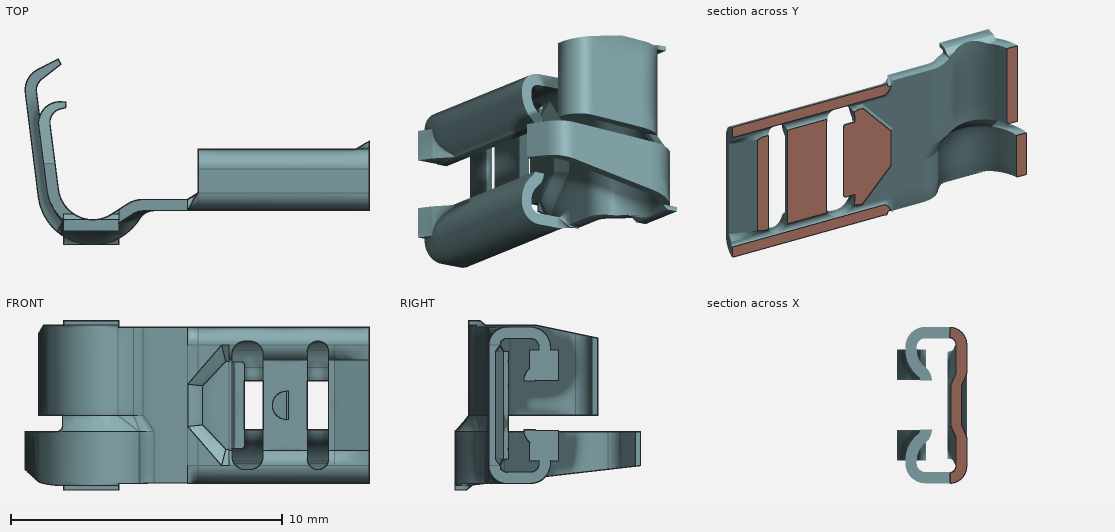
import cadquery as cq
import math


SHEET = 0.42
HALF_WIDTH = 2.885
CUT_REACH = 10.0

RING_X = 2.5
SLOT_TOP = -0.37
SLOT_BOTTOM = -0.965
SLOT_END_X = 1.375
SLOT_CORNER = 0.2
ARM_HALF_WIDTH = 2.96
PATCH_END_X = 5.19
UPPER_ARM = dict(
    ring_radius=1.7, rise_angle=33, rise_length=0.68, foot_radius=0.66,
    lean=7.3, straight=2.42, bend_radius=0.79, bend_turn=103, inner_radius=0.52, inner_turn=75,
    tip_length=0.15, tip_thickness=0.21,
)
LOWER_ARM = dict(
    ring_radius=2.035, rise_angle=57, rise_length=0.05, foot_radius=0.63,
    lean=7.1, straight=3.84, bend_radius=0.86, bend_turn=70, inner_radius=0.5, inner_turn=57,
    tip_length=0.85, tip_thickness=0.22,
)
UPPER_TAPER_START_Y = 1.74
UPPER_TAPER_SLOPE = 0.21
LOWER_TAPER_START_Y = -0.8
LOWER_TAPER_SLOPE = 0.115

TAB_LENGTH = 2.04
TAB_CENTER_X = 2.44
TAB_END_Z = 3.125
TAB_SLOPE = 0.21

NECK_END_X = 5.99
TUBE_START_X = 6.38
TUBE_END_X = 12.7
TUBE_HEIGHT = 2.27
FRONT_RADIUS = 0.66
BACK_RADIUS = 0.74
LIP_TURN = 52
LIP_BEND_Z = 1.39
LIP_END_Z = 0.9
LIP_DROP = 0.56
FLARE_START_X = 11.6
FLARE_BEND_X = 12.2
FLARE_HEIGHT = 0.3
FLARE_END_Z = 0.92

RECESS = 0.3
THIN_SHEET = 0.24
POCKET_END_X = 7.52
RAMP_START_X = 11.42
FRONT_CENTER_Z = HALF_WIDTH - FRONT_RADIUS
INNER_FRONT_RADIUS = FRONT_RADIUS - SHEET

POCKET_NOSE_X = 6.0
POCKET_NOSE_HALF = 0.78
POCKET_FLOOR_NOSE_HALF = 0.72
POCKET_WALL_RUN = 0.55
POCKET_SHOULDER_X = 7.25
POCKET_FLOOR_SHOULDER_X = 7.4
POCKET_FLOOR_HALF = 1.62

WINDOW_HALF = 2.37
WINDOW_DEPTH = 1.1
WINDOW_1 = (7.63, 8.78, 0.5)
WINDOW_2 = (10.41, 11.19, 0.389)
LIP_TAB_BEND_X = 7.71
LIP_TAB_END_X = 8.09
LIP_TAB_DROP = 0.15
LIP_TAB_HALF = 1.6
LIP_TAB_CORNER = 0.12
TOOTH_X = 9.64
TOOTH_RADIUS = 0.52
TOOTH_HEIGHT = 0.08
TOOTH_BACK = 0.067


def polar(center, radius, degrees):
    """Point on a circle, angle measured from +X."""
    angle = math.radians(degrees)
    return (center[0] + radius * math.cos(angle), center[1] + radius * math.sin(angle))


def arc(sketch, center, radius, start, end):
    """Continue a sketch along an arc; the sketch must be at the start angle."""
    middle = polar(center, radius, (start + end) / 2)
    return sketch.threePointArc(middle, polar(center, radius, end))


def ring_center(arm):
    """Ring center that brings the foot of the arm level with the neck at Y = 0."""
    rise = math.radians(arm["rise_angle"])
    reach = (arm["ring_radius"] + arm["foot_radius"]) * math.cos(rise)
    return (RING_X, reach - arm["rise_length"] * math.sin(rise) - arm["foot_radius"])


def root_points(arm):
    """Centers and corner points of the stretch from the ring to the flat neck."""
    ring = ring_center(arm)
    rise = arm["rise_angle"]
    leave = 270 + rise
    outer = polar(polar(ring, arm["ring_radius"], leave), arm["rise_length"], rise)
    foot = polar(outer, arm["foot_radius"], leave)
    return ring, leave, outer, foot


def draw_root(sketch, arm, ring_start, end_x):
    """Outer side from the ring to the neck, then back along the inner side to ring_start."""
    ring, leave, outer, foot = root_points(arm)
    inner_ring = arm["ring_radius"] - SHEET
    sketch = arc(sketch, ring, arm["ring_radius"], ring_start, leave).lineTo(*outer)
    sketch = arc(sketch, foot, arm["foot_radius"], leave - 180, 90)
    sketch = sketch.lineTo(end_x, 0).lineTo(end_x, SHEET).lineTo(foot[0], SHEET)
    sketch = arc(sketch, foot, arm["foot_radius"] + SHEET, 90, leave - 180)
    sketch = sketch.lineTo(*polar(ring, inner_ring, leave))
    return arc(sketch, ring, inner_ring, leave, ring_start)


def arm_outline(arm):
    """Closed XY outline of a whole spring arm, from hooked tip to neck."""
    ring = ring_center(arm)
    lean = arm["lean"]
    touch = 180 + lean
    outer_ring = arm["ring_radius"]
    outer_top = polar(polar(ring, outer_ring, touch), arm["straight"], 90 + lean)
    inner_top = polar(outer_top, SHEET, lean)
    bend = polar(outer_top, arm["bend_radius"], lean)
    inner_bend = polar(inner_top, arm["inner_radius"], lean)
    bend_end = touch - arm["bend_turn"]
    inner_end = touch - arm["inner_turn"]
    tip_start = polar(bend, arm["bend_radius"], bend_end)
    tip = polar(tip_start, arm["tip_length"], bend_end - 90)
    tip_inner = polar(tip, arm["tip_thickness"], bend_end + 180)

    sketch = cq.Workplane("XY").moveTo(*polar(ring, outer_ring, touch))
    sketch = draw_root(sketch, arm, touch, NECK_END_X).lineTo(*inner_top)
    sketch = arc(sketch, inner_bend, arm["inner_radius"], touch, inner_end)
    sketch = sketch.lineTo(*tip_inner).lineTo(*tip).lineTo(*tip_start)
    return arc(sketch, bend, arm["bend_radius"], bend_end, touch).close()


def taper_cutter(start_y, slope, side):
    """Wedge that narrows an arm from start_y towards its tip on the +Z or -Z side."""
    edge = side * ARM_HALF_WIDTH
    far_edge = edge - side * slope * (CUT_REACH - start_y)
    profile = [(start_y, edge), (CUT_REACH, far_edge), (CUT_REACH, edge)]
    return cq.Workplane("YZ").polyline(profile).close().extrude(CUT_REACH, both=True)


def make_arm(arm, z_inner, side, taper):
    """Arm between z_inner and the outer edge on the +Z or -Z side, tapered to its tip."""
    width = ARM_HALF_WIDTH - side * z_inner
    start_z = z_inner if side > 0 else -ARM_HALF_WIDTH
    body = arm_outline(arm).extrude(width).translate((0, 0, start_z))
    body = body.cut(taper_cutter(*taper, side))
    trim_height = ARM_HALF_WIDTH - HALF_WIDTH
    trim = cq.Workplane("XY").box(NECK_END_X, CUT_REACH, trim_height, centered=(False, True, True))
    trim_z = side * (HALF_WIDTH + trim_height / 2)
    return body.cut(trim.translate((TAB_CENTER_X + TAB_LENGTH / 2, 0, trim_z)))


def make_tab(arm, side):
    """Flat tab on the arm edge, its inner face sloping back to the ring bore."""
    ring = ring_center(arm)
    outer_y = ring[1] - arm["ring_radius"]
    inner_y = outer_y + SHEET
    base = side * ARM_HALF_WIDTH
    end = side * TAB_END_Z
    profile = [(outer_y, base), (outer_y, end), (inner_y, end), (inner_y + TAB_SLOPE, base)]
    tab = cq.Workplane("YZ").polyline(profile).close().extrude(TAB_LENGTH)
    tab = tab.translate((TAB_CENTER_X - TAB_LENGTH / 2, 0, 0))
    bore = cq.Workplane("XY").center(*ring).circle(arm["ring_radius"] - SHEET)
    return tab.cut(bore.extrude(CUT_REACH, both=True))


def root_wire(arm, z):
    """Root section at height z, its ring starting just left of the slot end."""
    ring = ring_center(arm)
    reach = RING_X - (SLOT_END_X - SLOT_CORNER)
    start_angle = 180 + math.degrees(math.acos(reach / arm["ring_radius"]))
    start = polar(ring, arm["ring_radius"], start_angle)
    sketch = cq.Workplane("XY", origin=(0, 0, z)).moveTo(*start)
    return draw_root(sketch, arm, start_angle, PATCH_END_X).close().val()


def make_joggle():
    """Sloped band joining the two rings across the slot between the arms."""
    upper = root_wire(UPPER_ARM, SLOT_TOP)
    lower = root_wire(LOWER_ARM, SLOT_BOTTOM)
    band = cq.Workplane("XY").add(cq.Solid.makeLoft([lower, upper], True))
    height = SLOT_TOP - SLOT_BOTTOM
    slot = (
        cq.Workplane("XZ")
        .moveTo(0, SLOT_TOP)
        .lineTo(SLOT_END_X, SLOT_TOP)
        .lineTo(SLOT_END_X, SLOT_BOTTOM + SLOT_CORNER)
        .radiusArc((SLOT_END_X - SLOT_CORNER, SLOT_BOTTOM), SLOT_CORNER)
        .lineTo(0, SLOT_BOTTOM)
        .close()
        .extrude(CUT_REACH, both=True)
    )
    neck_length = NECK_END_X - PATCH_END_X
    neck = cq.Workplane("XY").box(neck_length, SHEET, height, centered=False)
    return band.cut(slot).union(neck.translate((PATCH_END_X, 0, SLOT_BOTTOM)))


def yz_sketch(x):
    """Sketch plane across the tube at x; local axes are Y and Z."""
    return cq.Workplane("YZ", origin=(x, 0, 0))


def side_wall():
    """+Z side of the tube: front corner, side and inward-bent back lip."""
    front = (FRONT_RADIUS, FRONT_CENTER_Z)
    back = (TUBE_HEIGHT - BACK_RADIUS, HALF_WIDTH - BACK_RADIUS)
    inner_back = BACK_RADIUS - SHEET
    lip_y = TUBE_HEIGHT - LIP_DROP
    turn = math.radians(LIP_TURN)
    end_radius = (LIP_BEND_Z - LIP_END_Z) / math.sin(turn)
    bend_radius = LIP_DROP / (1 - math.cos(turn)) - end_radius
    bend = (TUBE_HEIGHT - SHEET - bend_radius, LIP_END_Z + (end_radius + bend_radius) * math.sin(turn))
    end = (lip_y - SHEET + end_radius, LIP_END_Z)
    sketch = arc(yz_sketch(TUBE_START_X).moveTo(0, front[1]), front, FRONT_RADIUS, 180, 90)
    sketch = sketch.lineTo(back[0], HALF_WIDTH)
    sketch = arc(sketch, back, BACK_RADIUS, 90, 0).lineTo(TUBE_HEIGHT, bend[1])
    sketch = arc(sketch, bend, bend_radius + SHEET, 0, -LIP_TURN)
    sketch = arc(sketch, end, end_radius - SHEET, 180 - LIP_TURN, 180)
    sketch = sketch.lineTo(lip_y - SHEET, LIP_END_Z)
    sketch = arc(sketch, end, end_radius, 180, 180 - LIP_TURN)
    sketch = arc(sketch, bend, bend_radius, -LIP_TURN, 0).lineTo(TUBE_HEIGHT - SHEET, back[1])
    sketch = arc(sketch, back, inner_back, 0, 90)
    sketch = sketch.lineTo(front[0], HALF_WIDTH - SHEET)
    sketch = arc(sketch, front, INNER_FRONT_RADIUS, 90, 180)
    wall = sketch.close().extrude(TUBE_END_X - TUBE_START_X)
    root_y = lip_y - SHEET / 2
    flare = (
        cq.Workplane("XY")
        .polyline([
            (FLARE_START_X, lip_y),
            (FLARE_BEND_X, TUBE_HEIGHT),
            (TUBE_END_X, TUBE_HEIGHT + FLARE_HEIGHT),
            (TUBE_END_X, root_y),
            (FLARE_START_X, root_y),
        ])
        .close()
        .extrude(bend[1] - FLARE_END_Z)
        .translate((0, 0, FLARE_END_Z))
    )
    return wall.union(flare)


def web_wire(x, recess, thickness):
    """Front web across the tube, either recessed with rolled flanks or flat."""
    center_y = FRONT_RADIUS
    outer_half = FRONT_CENTER_Z - math.sqrt(FRONT_RADIUS**2 - (FRONT_RADIUS - RECESS) ** 2)
    inner_half = FRONT_CENTER_Z - INNER_FRONT_RADIUS
    half_turn = math.degrees(math.acos((FRONT_RADIUS - RECESS) / FRONT_RADIUS)) / 2
    outer_middle = polar((center_y, FRONT_CENTER_Z), FRONT_RADIUS, 180 + half_turn)
    inner_middle = polar((center_y, FRONT_CENTER_Z), INNER_FRONT_RADIUS, 180 + 45)

    def flank(sketch, middle, end, sign):
        if recess:
            return sketch.threePointArc((middle[0], sign * middle[1]), end)
        return sketch.lineTo(*end)

    inner_y = thickness + recess
    sketch = yz_sketch(x).moveTo(0, -FRONT_CENTER_Z)
    sketch = flank(sketch, outer_middle, (recess, -outer_half), -1).lineTo(recess, outer_half)
    sketch = flank(sketch, outer_middle, (0, FRONT_CENTER_Z), 1).lineTo(SHEET, FRONT_CENTER_Z)
    sketch = flank(sketch, inner_middle, (inner_y, inner_half), 1).lineTo(inner_y, -inner_half)
    return flank(sketch, inner_middle, (SHEET, -FRONT_CENTER_Z), -1).close().val()


def loft_web(start_x, start_recess, end_x, end_recess, thickness=SHEET):
    """Stretch of front web whose recess changes evenly from start to end."""
    wires = [web_wire(start_x, start_recess, thickness), web_wire(end_x, end_recess, thickness)]
    return cq.Workplane("XY").add(cq.Solid.makeLoft(wires, True))


def pocket_wire(y, nose_x, nose_half, shoulder_x, shoulder_half):
    """Symmetric pocket outline at depth y, blunt at the nose and open to the first window."""
    half = [(nose_x, nose_half), (shoulder_x, shoulder_half), (POCKET_END_X, shoulder_half)]
    mirrored = [(x, -z) for x, z in reversed(half)]
    return cq.Workplane("XZ", origin=(0, y, 0)).polyline(half + mirrored).close().val()


def pocket_form():
    """Tapered pocket volume, from the outer face down to the recess depth."""
    mouth = pocket_wire(0, POCKET_NOSE_X, POCKET_NOSE_HALF, POCKET_SHOULDER_X, FRONT_CENTER_Z)
    floor = pocket_wire(
        RECESS, POCKET_NOSE_X + POCKET_WALL_RUN, POCKET_FLOOR_NOSE_HALF,
        POCKET_FLOOR_SHOULDER_X, POCKET_FLOOR_HALF,
    )
    return cq.Workplane("XY").add(cq.Solid.makeLoft([mouth, floor], True))


def neck_transition():
    """Flat strip whose long edges turn into the rounded tube corners."""
    corner = FRONT_CENTER_Z
    flat = yz_sketch(NECK_END_X).polyline([
        (0, -corner), (0, corner), (0, HALF_WIDTH), (SHEET, HALF_WIDTH),
        (SHEET, corner), (SHEET, -corner), (SHEET, -HALF_WIDTH), (0, -HALF_WIDTH),
    ]).close().val()
    upper = (FRONT_RADIUS, corner)
    lower = (FRONT_RADIUS, -corner)
    sketch = yz_sketch(TUBE_START_X).moveTo(0, -corner).lineTo(0, corner)
    sketch = arc(sketch, upper, FRONT_RADIUS, 180, 90).lineTo(FRONT_RADIUS, HALF_WIDTH - SHEET)
    sketch = arc(sketch, upper, INNER_FRONT_RADIUS, 90, 180).lineTo(SHEET, -corner)
    sketch = arc(sketch, lower, INNER_FRONT_RADIUS, 180, 270).lineTo(FRONT_RADIUS, -HALF_WIDTH)
    rounded = arc(sketch, lower, FRONT_RADIUS, 270, 180).close().val()
    return cq.Workplane("XY").add(cq.Solid.makeLoft([flat, rounded], True))


def window(start_x, end_x, corner):
    """Rounded slot through the front web only."""
    length = end_x - start_x
    cutter = cq.Workplane("XY").box(length, WINDOW_DEPTH, 2 * WINDOW_HALF, centered=(True, False, True))
    cutter = cutter.edges("|Y").fillet(corner)
    return cutter.translate(((start_x + end_x) / 2, 0, 0))


def lip_tab():
    """Tongue at the end of the entry pocket, thinned from outside over the first window."""
    start_x = WINDOW_1[0]
    drop_y = RECESS + LIP_TAB_DROP
    profile = [
        (POCKET_END_X, RECESS), (start_x, RECESS), (LIP_TAB_BEND_X, drop_y), (LIP_TAB_END_X, drop_y),
        (LIP_TAB_END_X, RECESS + SHEET), (POCKET_END_X, RECESS + SHEET),
    ]
    tab = cq.Workplane("XY").polyline(profile).close().extrude(LIP_TAB_HALF, both=True)
    return tab.edges("|Y and >X").fillet(LIP_TAB_CORNER)


def tooth():
    """Half-round locking tooth rising towards +X out of the web."""
    base_y = RECESS + SHEET / 2
    profile = [
        (TOOTH_X - TOOTH_RADIUS, RECESS), (TOOTH_X, RECESS - TOOTH_HEIGHT),
        (TOOTH_X + TOOTH_BACK, RECESS), (TOOTH_X + TOOTH_BACK, base_y), (TOOTH_X - TOOTH_RADIUS, base_y),
    ]
    wedge = cq.Workplane("XY").polyline(profile).close().extrude(TOOTH_RADIUS, both=True)
    disc = cq.Workplane("XZ").center(TOOTH_X, 0).circle(TOOTH_RADIUS).extrude(CUT_REACH, both=True)
    back = cq.Workplane("XY").box(TOOTH_BACK, CUT_REACH, 2 * TOOTH_RADIUS, centered=(False, True, True))
    return wedge.intersect(disc.union(back.translate((TOOTH_X, 0, 0))))


def make_tube():
    """Crimp tube with its recessed web, thinned from the second window to the end."""
    wall = side_wall()
    thin_start_x = sum(WINDOW_2[:2]) / 2
    web = loft_web(TUBE_START_X, 0, POCKET_END_X, 0)
    web = web.union(loft_web(POCKET_END_X, RECESS, thin_start_x, RECESS))
    web = web.union(loft_web(thin_start_x, RECESS, RAMP_START_X, RECESS, THIN_SHEET))
    web = web.union(loft_web(RAMP_START_X, RECESS, TUBE_END_X, 0, THIN_SHEET))
    pocket = pocket_form()
    tube = wall.union(wall.mirror("XY")).union(web).union(neck_transition())
    tube = tube.union(pocket.translate((0, SHEET, 0))).cut(pocket)
    for opening in (WINDOW_1, WINDOW_2):
        tube = tube.cut(window(*opening))
    return tube.union(lip_tab()).union(tooth())


upper_arm = make_arm(UPPER_ARM, SLOT_TOP, 1, (UPPER_TAPER_START_Y, UPPER_TAPER_SLOPE))
lower_arm = make_arm(LOWER_ARM, SLOT_BOTTOM, -1, (LOWER_TAPER_START_Y, LOWER_TAPER_SLOPE))
arms = upper_arm.union(lower_arm).union(make_joggle())
arms = arms.union(make_tab(UPPER_ARM, 1)).union(make_tab(LOWER_ARM, -1))
result = arms.union(make_tube())